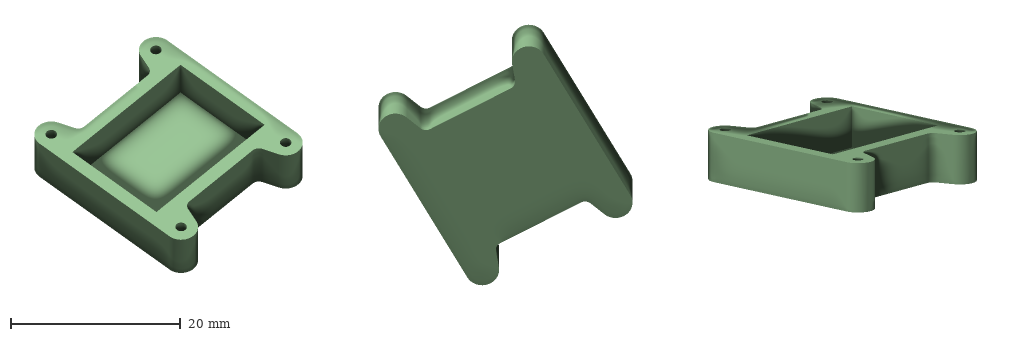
import cadquery as cq
import math

length = 25.0
width = 22.0
height = 6.0

ear_radius = 2.0
ear_taper = math.radians(20)
ear_fillet = 1.0
hole_diameter = 1.35
hole_x = length / 2 - ear_radius
hole_y = width / 2 - ear_radius

body_length = 17.0
wall = 1.7
floor = 1.0
pocket_length = body_length - 2 * wall
pocket_width = width - 2 * wall
pocket_depth = height - floor


def make_ear(side_x, side_y):
    """One rounded ear whose inner flank is tangent to its round end."""
    tangent_x = hole_x + ear_radius * math.sin(ear_taper)
    tangent_y = hole_y - ear_radius * math.cos(ear_taper)
    root_x = body_length / 2
    root_y = tangent_y - (tangent_x - root_x) * math.tan(ear_taper)
    middle_angle = ear_taper / 2
    arc_middle = (
        hole_x + ear_radius * math.cos(middle_angle),
        hole_y + ear_radius * math.sin(middle_angle),
    )

    def place(x, y):
        return (side_x * x, side_y * y)

    return (
        cq.Workplane("XY")
        .moveTo(0, side_y * root_y)
        .lineTo(*place(root_x, root_y))
        .lineTo(*place(tangent_x, tangent_y))
        .threePointArc(place(*arc_middle), place(hole_x, width / 2))
        .lineTo(0, side_y * width / 2)
        .close()
        .extrude(height)
    )


def make_outline():
    """Body with four ears and filleted inside corners."""
    solid = cq.Workplane("XY").box(body_length, width, height, centered=(True, True, False))
    for side_x in (-1, 1):
        for side_y in (-1, 1):
            solid = solid.union(make_ear(side_x, side_y))
    solid = solid.clean()
    margin = 0.25
    corner_zone = cq.selectors.BoxSelector(
        (-body_length / 2 - margin, -hole_y, -margin),
        (body_length / 2 + margin, hole_y, height + margin),
    )
    return solid.edges("|Z").edges(corner_zone).fillet(ear_fillet)


result = (
    make_outline()
    .faces(">Z")
    .workplane(origin=(0, 0, height))
    .rect(pocket_length, pocket_width)
    .cutBlind(-pocket_depth)
    .faces(">Z")
    .workplane(origin=(0, 0, height))
    .rect(2 * hole_x, 2 * hole_y, forConstruction=True)
    .vertices()
    .hole(hole_diameter, pocket_depth)
)